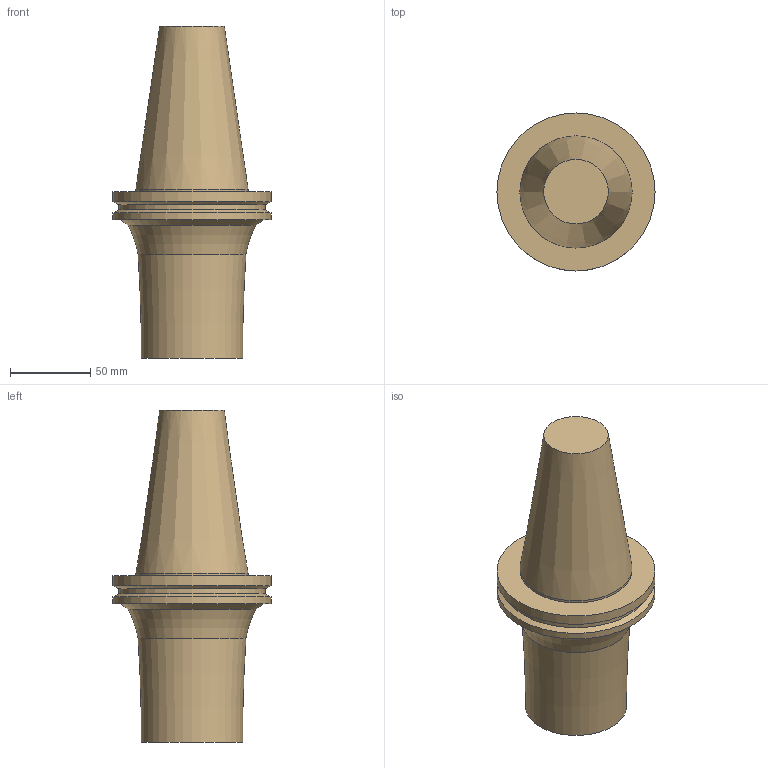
import cadquery as cq
import math


overall_length = 206.7
taper_length = 101.6
taper_rate = 7 / 24
gauge_radius = 69.85 / 2
taper_tip_radius = gauge_radius - taper_length * taper_rate / 2

flange_radius = 98.42 / 2
flange_top = -1.5
flange_bottom = -19.05
groove_center = -11.25
groove_floor_radius = 91.29 / 2
groove_mouth_width = 6.9
groove_wall_angle = 26.5
groove_depth = flange_radius - groove_floor_radius
groove_wall_height = groove_depth * math.tan(math.radians(groove_wall_angle))
groove_mouth_half = groove_mouth_width / 2
groove_floor_half = groove_mouth_half - groove_wall_height

under_cone_top_radius = 44.5
under_cone_bottom_radius = 39.75
under_cone_bottom = -22.5

neck_bottom = -40.5
neck_hollow = 0.75

nose_bottom = taper_length - overall_length
nose_end_radius = 63.0 / 2
nose_curve_radius = 1000.0


def nose_radius(z):
    """Radius of the nose wall at height z."""
    rise = z - nose_bottom
    return nose_end_radius + nose_curve_radius - math.sqrt(nose_curve_radius**2 - rise**2)


def neck_middle(start, end):
    """Middle point of the neck curve, offset towards the axis from its chord."""
    run_r = end[0] - start[0]
    run_z = end[1] - start[1]
    chord = math.hypot(run_r, run_z)
    middle_r = (start[0] + end[0]) / 2 + neck_hollow * run_z / chord
    middle_z = (start[1] + end[1]) / 2 - neck_hollow * run_r / chord
    return (middle_r, middle_z)


def holder_profile():
    """Closed half section in the XZ plane, from the taper tip down to the nose."""
    neck_start = (under_cone_bottom_radius, under_cone_bottom)
    nose_start = (nose_radius(neck_bottom), neck_bottom)
    nose_middle_height = (neck_bottom + nose_bottom) / 2
    nose_middle = (nose_radius(nose_middle_height), nose_middle_height)

    profile = (
        cq.Workplane("XZ")
        .moveTo(0, taper_length)
        .lineTo(taper_tip_radius, taper_length)
        .lineTo(gauge_radius, 0)
        .lineTo(gauge_radius, flange_top)
    )
    profile = (
        profile.lineTo(flange_radius, flange_top)
        .lineTo(flange_radius, groove_center + groove_mouth_half)
        .lineTo(groove_floor_radius, groove_center + groove_floor_half)
        .lineTo(groove_floor_radius, groove_center - groove_floor_half)
        .lineTo(flange_radius, groove_center - groove_mouth_half)
        .lineTo(flange_radius, flange_bottom)
    )
    return (
        profile.lineTo(under_cone_top_radius, flange_bottom)
        .lineTo(*neck_start)
        .threePointArc(neck_middle(neck_start, nose_start), nose_start)
        .threePointArc(nose_middle, (nose_end_radius, nose_bottom))
        .lineTo(0, nose_bottom)
        .close()
    )


result = holder_profile().revolve(360, (0, 0, 0), (0, 1, 0))